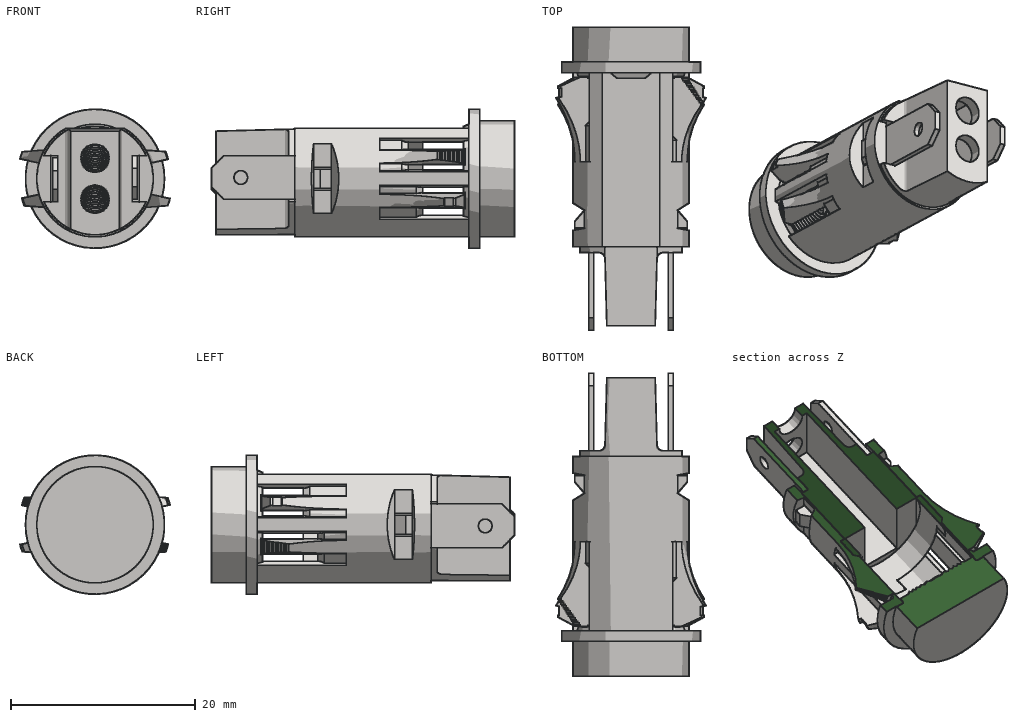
import cadquery as cq
import math


lens_diameter = 12.65
lens_length = 3.8
spigot_length = 0.65
ridge_pitch = 0.4
ridge_height = 0.2
ridge_count = 11
first_ridge_start = 0.05

flange_diameter = 15.1
flange_thickness = 1.2
body_diameter = lens_diameter
body_length = 18.9
body_flat_z = 5.5
bore_radius = 5.5
holder_radius = 5.85
core_side_x = 4.8
bore_top_z = 5.0
collar_length = 0.6
collar_root_radius = 5.92
collar_end_radius = 5.7

slot_length = 9.65
slot_inner_x = 2.63
slot_outer_x = 7.25
slot_inner_z = (1.65, 3.25)
slot_outer_z = (0.5, 6.02)

arm_inner_x = 2.63
arm_outer_x = 8.9
arm_inner_z = (0.95, 3.32)
arm_outer_z = (2.3, 2.85)
arm_front = 0.45
arm_clearance = 0.05
lip_radius = 8.2
lip_start = 1.45
lip_end = 1.68
groove_radius = 8.1
groove_end = 2.6
barb_radius = 8.42
barb_position = 2.7
stepped_arm_radius = 8.23
stepped_arm_peak = 3.42
step_count = 16

window_floor_x = 5.07
window_front = 14.12
window_floor_front = 14.9
window_floor_rear = 16.85
window_rear = 17.08
window_slot_width = 2.5

tube_radius = 5.3
tube_top_z = 4.55
tube_long_front = 5.0
tube_short_front = 6.58
tube_chamfer_length = 0.72
cavity_width = 4.28
cavity_height = 8.9
plate_diameter = 12.18
plate_thickness = 0.63
tooth_width = 2.05
tooth_top_x = 6.12
tooth_ramp_end = 16.13
block_width = 5.73
block_length = 8.55
block_top_z = 5.4
block_taper = 1.5
block_fillet = 0.65
block_wall = 1.35
socket_diameter = 3.03
socket_pitch = 4.45

terminal_inner_x = 4.0
terminal_thickness = 0.6
terminal_width = 4.77
terminal_tip_width = 2.05
terminal_tip_length = 1.38
terminal_overhang = 9.05
terminal_embed = 1.3
terminal_z_offset = 0.13
terminal_hole_diameter = 1.48
terminal_hole_from_tip = 3.2
pocket_width = 5.05

body_radius = body_diameter / 2
plate_radius = plate_diameter / 2
body_rear = -body_length
pocket_front = body_rear + terminal_embed
overreach = 1.65
overlap = 0.33


def along_y(diameter, front, rear):
    """Cylinder about the lamp axis, from Y = front back to Y = rear."""
    return cq.Workplane("XZ", origin=(0, front, 0)).circle(diameter / 2).extrude(front - rear)


def box_between(x, y, z):
    """Box that spans the given (low, high) pairs."""
    size = [high - low for low, high in (x, y, z)]
    return cq.Workplane("XY").box(*size, centered=False).translate((x[0], y[0], z[0]))


def turned(points):
    """Solid turned about the lamp axis from (radius, Y) points."""
    return cq.Workplane("XY").polyline(points).close().revolve(360, (0, 0, 0), (0, 1, 0))


def half_turned(shape):
    """The same shape turned half way round the lamp axis."""
    return shape.rotate((0, 0, 0), (0, 1, 0), 180)


def below(height, shape):
    """The part of a shape that lies below Z = height."""
    reach = flange_diameter
    return shape.intersect(box_between((-reach, reach), (-reach, reach), (-reach, height)))


def rear_core():
    """Flat-sided, flat-topped filling of the housing bore behind the slots."""
    slab = box_between(
        (-core_side_x, core_side_x), (body_rear, -slot_length), (-holder_radius, bore_top_z)
    )
    return along_y(2 * holder_radius, -slot_length, body_rear).intersect(slab)


def terminal_pocket():
    """Recess on the +X side that the root of a terminal sits in."""
    half_width = pocket_width / 2
    return box_between((terminal_inner_x, core_side_x), (body_rear, pocket_front), (-half_width, half_width))


def lens():
    """Solid cap whose flat-topped spigot fills the flange bore and ends in concentric V ridges."""
    rear = flange_thickness - spigot_length
    points = [(0, flange_thickness), (0, rear), (first_ridge_start, rear)]
    for i in range(ridge_count):
        start = first_ridge_start + i * ridge_pitch
        points.append((start + ridge_pitch / 2, rear - ridge_height))
        points.append((start + ridge_pitch, rear))
    points += [(bore_radius, rear), (bore_radius, flange_thickness)]
    spigot = below(bore_top_z, turned(points))
    return along_y(lens_diameter, flange_thickness + lens_length, flange_thickness).union(spigot)


def side_prism(inner_x, outer_x, inner_z, outer_z, front, rear):
    """Four-cornered XZ outline in the +X +Z quarter, from Y = front back to Y = rear."""
    corners = [(inner_x, inner_z[0]), (outer_x, outer_z[0]), (outer_x, outer_z[1]), (inner_x, inner_z[1])]
    return cq.Workplane("XZ", origin=(0, front, 0)).polyline(corners).close().extrude(front - rear)


def snap_arm(front_points):
    """Arm in the +X +Z quarter; its (radius, Y) front edge ends at the peak the hollow back starts from."""
    peak_radius, peak_y = front_points[-1]
    length = slot_length + peak_y
    rise = peak_radius - body_radius
    back_radius = (length**2 + rise**2) / (2 * rise)
    half_angle = math.asin(length / back_radius) / 2
    back_middle = (
        body_radius + back_radius * (1 - math.cos(half_angle)),
        -slot_length + back_radius * math.sin(half_angle),
    )
    profile = (
        cq.Workplane("XY")
        .moveTo(bore_radius, -slot_length)
        .lineTo(bore_radius, -arm_front)
    )
    for point in front_points:
        profile = profile.lineTo(*point)
    profile = profile.threePointArc(back_middle, (body_radius, -slot_length)).close()
    ring = profile.revolve(360, (0, 0, 0), (0, 1, 0))
    sides = side_prism(arm_inner_x, arm_outer_x, arm_inner_z, arm_outer_z, 0, -slot_length)
    return ring.intersect(sides)


def barbed_arm():
    """Arm with a smooth ramp, a shallow groove and a sharp barb."""
    return snap_arm([
        (body_radius, -arm_front),
        (lip_radius, -lip_start),
        (lip_radius, -lip_end),
        (groove_radius, -lip_end),
        (groove_radius, -groove_end),
        (barb_radius, -barb_position),
    ])


def stepped_arm():
    """Arm whose ramp is a flight of small steps."""
    run = (stepped_arm_peak - arm_front) / step_count
    rise = (stepped_arm_radius - body_radius) / step_count
    points = [(body_radius, -arm_front)]
    for i in range(step_count):
        points.append((body_radius + i * rise, -arm_front - (i + 1) * run))
        points.append((body_radius + (i + 1) * rise, -arm_front - (i + 1) * run))
    return snap_arm(points)


def latch_window():
    """Flat-bottomed notch across the +X side, with an opening through to the bore."""
    notch = (
        cq.Workplane("XY", origin=(0, 0, -body_radius))
        .polyline([
            (window_floor_x, -window_floor_front),
            (body_radius, -window_front),
            (body_radius + overreach, -window_front),
            (body_radius + overreach, -window_rear),
            (body_radius, -window_rear),
            (window_floor_x, -window_floor_rear),
        ])
        .close()
        .extrude(body_diameter)
    )
    half_width = window_slot_width / 2
    opening = box_between(
        (core_side_x - overlap, body_radius), (-window_floor_rear, -window_floor_front), (-half_width, half_width)
    )
    return notch.union(opening)


def collar():
    """Tapered ring behind the flange, notched to clear the front ends of the arms."""
    ring = turned([
        (0, 0), (collar_root_radius, 0), (collar_end_radius, -collar_length), (0, -collar_length)
    ])
    notch = side_prism(
        arm_inner_x,
        arm_outer_x,
        (arm_inner_z[0] - arm_clearance, arm_inner_z[1] + arm_clearance),
        (arm_outer_z[0] - arm_clearance, arm_outer_z[1] + arm_clearance),
        -arm_front + arm_clearance,
        -collar_length,
    )
    for upper_notch in (notch, notch.mirror("YZ")):
        ring = ring.cut(upper_notch).cut(upper_notch.mirror("XY"))
    return ring


def housing():
    """Flanged tube with a flat top, four snap arms and two latch windows."""
    body = along_y(body_diameter, 0, body_rear)
    body = body.cut(
        box_between((-body_radius, body_radius), (body_rear, 0), (body_flat_z, body_radius + overreach))
    )
    slot = side_prism(slot_inner_x, slot_outer_x, slot_inner_z, slot_outer_z, 0, -slot_length)
    for upper_slot in (slot, slot.mirror("YZ")):
        body = body.cut(upper_slot).cut(upper_slot.mirror("XY"))

    body = body.union(along_y(flange_diameter, flange_thickness, 0)).union(collar())
    body = body.cut(below(bore_top_z, along_y(2 * bore_radius, flange_thickness, -slot_length)))

    upper_stepped = stepped_arm()
    lower_barbed = barbed_arm().mirror("XY")
    for arm in (upper_stepped, lower_barbed):
        body = body.union(arm).union(half_turned(arm))
    window = latch_window()
    body = body.cut(window).cut(half_turned(window))
    return body.cut(rear_core()).cut(holder_envelope())


def rimmed_cylinder(front):
    """Solid cylinder of the holder's size whose front rim is chamfered."""
    return turned([
        (0, -front),
        (tube_radius, -front),
        (holder_radius, -front - tube_chamfer_length),
        (holder_radius, -slot_length),
        (0, -slot_length),
    ])


def holder_envelope():
    """Outside of the front of the holder; its rim is lower in two opposite quarters."""
    reach = holder_radius
    quarter = box_between((0, reach), (-slot_length, 0), (0, reach))
    short_quarters = quarter.union(half_turned(quarter))
    long_part = rimmed_cylinder(tube_long_front).cut(short_quarters)
    short_part = rimmed_cylinder(tube_short_front).intersect(short_quarters)
    return below(bore_top_z, long_part.union(short_part))


def holder_tube():
    """Front of the holder, hollowed into a flat-topped tube."""
    return holder_envelope().cut(below(tube_top_z, along_y(2 * tube_radius, 0, -slot_length)))


def latch_tooth():
    """Ramped tooth on the +X side that fills part of a latch window."""
    return (
        cq.Workplane("XY", origin=(0, 0, -tooth_width / 2))
        .polyline([
            (core_side_x - overlap, -window_floor_front),
            (window_floor_x, -window_floor_front),
            (tooth_top_x, -tooth_ramp_end),
            (tooth_top_x, -window_floor_rear),
            (core_side_x - overlap, -window_floor_rear),
        ])
        .close()
        .extrude(tooth_width)
    )


def end_block():
    """End plate and tapered block, both trimmed to the plate circle and notched for the terminals."""
    plate_rear = body_rear - plate_thickness
    block_height = block_top_z + plate_diameter

    def tapered_slab(width, length):
        section = cq.Workplane("XZ", origin=(0, body_rear, block_top_z - block_height / 2))
        return section.rect(width, block_height).extrude(length, taper=block_taper)

    plate = tapered_slab(2 * plate_diameter, plate_thickness)
    block = tapered_slab(block_width, block_length)
    joint = cq.selectors.BoxSelector(
        (-block_width, plate_rear - overlap, -plate_radius),
        (block_width, plate_rear + overlap, block_top_z - overlap),
    )
    shape = plate.union(block).edges(joint).fillet(block_fillet)
    shape = shape.intersect(along_y(plate_diameter, body_rear, body_rear - block_length))
    half_width = pocket_width / 2
    notch = box_between((terminal_inner_x, plate_diameter), (plate_rear, body_rear), (-half_width, half_width))
    return shape.cut(notch).cut(half_turned(notch))


def insert():
    """Hollow holder that carries the terminals and is latched in the housing."""
    body = rear_core().union(holder_tube()).union(end_block())
    cavity_rear = body_rear - block_length + block_wall
    cavity = box_between(
        (-cavity_width / 2, cavity_width / 2),
        (cavity_rear, -slot_length),
        (-cavity_height / 2, cavity_height / 2),
    )
    sockets = (
        cq.Workplane("XZ", origin=(0, cavity_rear + overlap, 0))
        .pushPoints([(0, socket_pitch / 2), (0, -socket_pitch / 2)])
        .circle(socket_diameter / 2)
        .extrude(block_wall + 2 * overlap)
    )
    body = body.cut(cavity).cut(sockets)
    tooth = latch_tooth()
    pocket = terminal_pocket()
    return body.union(tooth).union(half_turned(tooth)).cut(pocket).cut(half_turned(pocket))


def terminal():
    """Flat blade on the +X side with a tapered tip and a cross hole."""
    tip = body_rear - terminal_overhang
    shoulder = tip + terminal_tip_length
    half_width = terminal_width / 2
    half_tip = terminal_tip_width / 2
    blade = (
        cq.Workplane("YZ", origin=(terminal_inner_x, 0, terminal_z_offset))
        .polyline([
            (pocket_front, -half_width),
            (shoulder, -half_width),
            (tip, -half_tip),
            (tip, half_tip),
            (shoulder, half_width),
            (pocket_front, half_width),
        ])
        .close()
        .extrude(terminal_thickness)
    )
    hole = (
        cq.Workplane("YZ", origin=(terminal_inner_x, tip + terminal_hole_from_tip, terminal_z_offset))
        .circle(terminal_hole_diameter / 2)
        .extrude(terminal_thickness)
    )
    return blade.cut(hole)


terminals = [terminal().rotate((0, 0, 0), (0, 1, 0), angle) for angle in (0, 180)]

result = cq.Compound.makeCompound([
    lens().val(),
    housing().val(),
    insert().val(),
    *[blade.val() for blade in terminals],
])